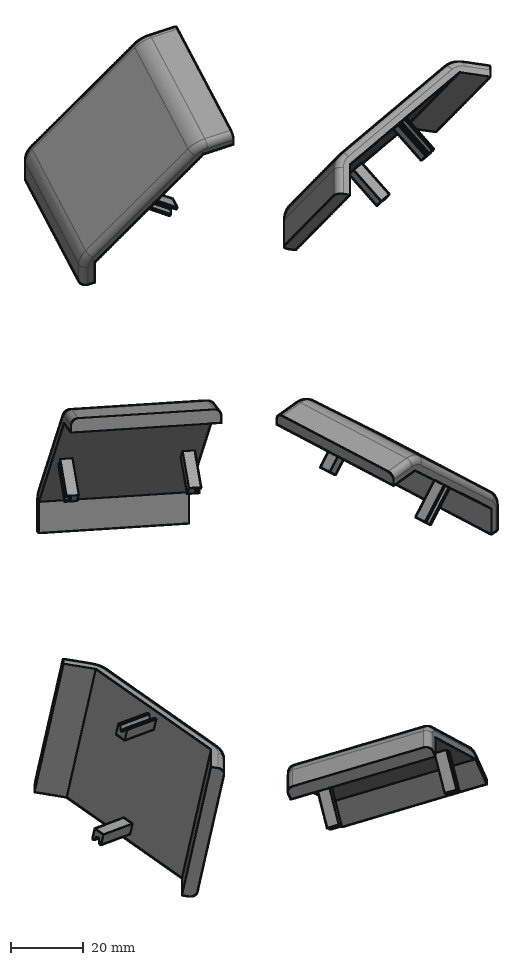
import cadquery as cq
import math

width = 42.2
side = 45.16
wall = 4.0
slope_angle = 45
inner_flange = 9.0
bend_radius = 7.0
edge_radius = 2.0

post_length = 11.5
post_size = 3.45
post_face_x = 18.9
groove_mouth = 2.1
groove_floor = 0.86
flank_depth = 1.3
groove_depth = 1.5

half = side / 2
half_inner = half - wall
outer_flange = inner_flange + wall * math.tan(math.radians(slope_angle / 2))
inner_corner = half - inner_flange
outer_corner = half - outer_flange
slope_centre = (half_inner - inner_corner) / 2


def make_plate():
    """Bent plate: a flat top flange, a slope and a vertical front flange."""
    outline = [
        (half, half),
        (outer_corner, half),
        (-half, -outer_corner),
        (-half, -half),
        (-half_inner, -half),
        (-half_inner, -inner_corner),
        (inner_corner, half_inner),
        (half, half_inner),
    ]
    plate = cq.Workplane("YZ").polyline(outline).close().extrude(width / 2, both=True)

    for y, z in ((outer_corner, half), (-half, -outer_corner)):
        bend = cq.selectors.NearestToPointSelector((0, y, z))
        plate = plate.edges("|X").edges(bend).fillet(bend_radius)

    for x in (-width / 2, width / 2):
        flange_edge = cq.selectors.NearestToPointSelector((x, half, half))
        plate = plate.edges("|Y").edges(flange_edge).fillet(edge_radius)
    return plate


def make_post():
    """Post near the -X end, square to the slope, with a full-length groove in its -X face."""
    root = cq.Plane(
        origin=(-post_face_x, -slope_centre, slope_centre),
        xDir=(1, 0, 0),
        normal=(0, 1, -1),
    )
    body = (
        cq.Workplane(root)
        .center(post_size / 2, 0)
        .rect(post_size, post_size)
        .extrude(post_length)
    )
    groove = (
        cq.Workplane(root)
        .moveTo(0, groove_mouth / 2)
        .lineTo(flank_depth, groove_floor / 2)
        .threePointArc((groove_depth, 0), (flank_depth, -groove_floor / 2))
        .lineTo(0, -groove_mouth / 2)
        .close()
        .extrude(post_length)
    )
    return body.cut(groove)


post = make_post()
result = make_plate().union(post).union(post.mirror("YZ"))